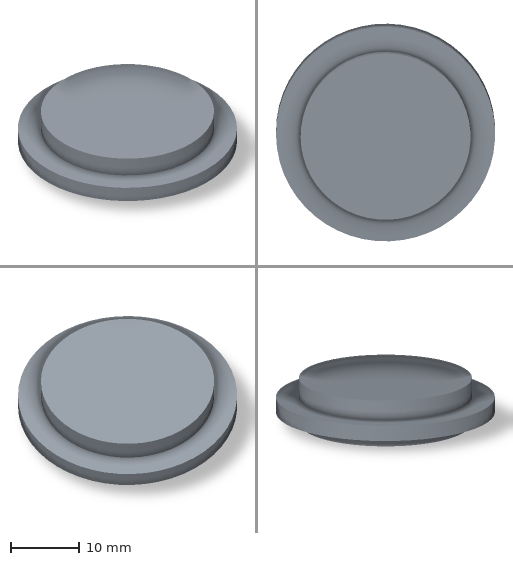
import cadquery as cq

flange_diameter = 32.0
upper_disc_diameter = 25.3
lower_disc_diameter = 24.8
total_height = 7.0
lower_disc_height = 1.8
flange_thickness = 2.3
upper_disc_height = total_height - lower_disc_height - flange_thickness


def add_disc(base, diameter, height):
    """Stack a concentric disc on the top face of the body."""
    return base.faces(">Z").workplane().circle(diameter / 2).extrude(height)


lower_disc = cq.Workplane("XY").circle(lower_disc_diameter / 2).extrude(lower_disc_height)

flanged_body = add_disc(lower_disc, flange_diameter, flange_thickness)
result = add_disc(flanged_body, upper_disc_diameter, upper_disc_height)